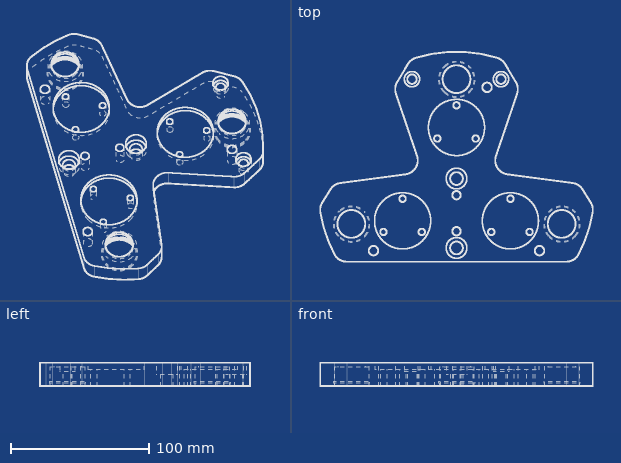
import cadquery as cq
import math

thickness = 17.0
rim_radius = 100.0
base_edge_y = -52.1
corner_radius = 10.0

waist_corner = (24.7, 12.8)
shoulder_corner = (45.5, 73.9)
hand_corner = (88.7, 4.3)
upper_bevel_angle = 31.0
lower_bevel_angle = 32.0

pocket_circle_radius = 45.0
pocket_angles = (90, 210, 330)
pocket_diameter = 40.7
pocket_depth = 5.0
pocket_screw_circle_radius = 16.0
pocket_screw_diameter = 4.5

bore_circle_radius = 80.0
bore_angles = (90, -18, 198)
bore_diameter = 20.0
bore_lip_thickness = 3.0
seat_diameter = 25.0
ring_groove_diameter = 26.3
ring_groove_depth = 13.5
ring_groove_width = 1.3

center_screw_ys = (8.0, -42.0)
center_screw_diameter = 9.0
center_counterbore_diameter = 15.0
center_counterbore_depth = 8.5
pin_ys = (-4.0, -30.0)
pin_diameter = 6.0

top_screw_x = 32.2
top_screw_y = bore_circle_radius
top_screw_diameter = 6.7
top_counterbore_diameter = 11.0
top_counterbore_depth = 6.3

plain_hole_points = [(22.1, 74.0), (-60.0, -44.0), (60.0, -44.0)]
plain_hole_diameter = 6.7


def polar_point(radius, angle):
    a = math.radians(angle)
    return (radius * math.cos(a), radius * math.sin(a))


def cylinders(points, diameter, bottom_z, top_z):
    """Upright cylinders spanning bottom_z to top_z at each point."""
    plane = cq.Workplane("XY").workplane(offset=bottom_z)
    return plane.pushPoints(points).circle(diameter / 2).extrude(top_z - bottom_z)


def through_holes(points, diameter):
    return cylinders(points, diameter, 0, thickness)


def top_recesses(points, diameter, depth):
    return cylinders(points, diameter, thickness - depth, thickness)


def make_plate():
    """Three-armed plate: straight-sided outline trimmed by the rim circle, with rounded corners."""
    apex_y = shoulder_corner[1] + shoulder_corner[0] / math.tan(math.radians(upper_bevel_angle))
    base_drop = hand_corner[1] - base_edge_y
    base_x = hand_corner[0] + base_drop * math.tan(math.radians(lower_bevel_angle))
    right_side = [(base_x, base_edge_y), hand_corner, waist_corner, shoulder_corner]
    left_side = [(-x, y) for x, y in reversed(right_side)]
    outline = right_side + [(0, apex_y)] + left_side
    plate = cq.Workplane("XY").polyline(outline).close().extrude(thickness)
    rim = cq.Workplane("XY").circle(rim_radius).extrude(thickness)
    return plate.intersect(rim).edges("|Z").fillet(corner_radius)


def cut_pockets(body):
    centers = [polar_point(pocket_circle_radius, a) for a in pocket_angles]
    offsets = [polar_point(pocket_screw_circle_radius, a) for a in pocket_angles]
    screws = [(cx + dx, cy + dy) for cx, cy in centers for dx, dy in offsets]
    body = body.cut(top_recesses(centers, pocket_diameter, pocket_depth))
    return body.cut(through_holes(screws, pocket_screw_diameter))


def cut_bearing_seats(body):
    centers = [polar_point(bore_circle_radius, a) for a in bore_angles]
    groove_top_z = thickness - ring_groove_depth
    groove_bottom_z = groove_top_z - ring_groove_width
    body = body.cut(through_holes(centers, bore_diameter))
    body = body.cut(cylinders(centers, seat_diameter, 0, thickness - bore_lip_thickness))
    return body.cut(cylinders(centers, ring_groove_diameter, groove_bottom_z, groove_top_z))


def cut_counterbored_holes(body, points, diameter, counterbore_diameter, depth):
    body = body.cut(through_holes(points, diameter))
    return body.cut(top_recesses(points, counterbore_diameter, depth))


center_screws = [(0, y) for y in center_screw_ys]
pins = [(0, y) for y in pin_ys]
top_screws = [(-top_screw_x, top_screw_y), (top_screw_x, top_screw_y)]

result = make_plate()
result = cut_pockets(result)
result = cut_bearing_seats(result)
result = cut_counterbored_holes(
    result, center_screws, center_screw_diameter, center_counterbore_diameter, center_counterbore_depth
)
result = cut_counterbored_holes(
    result, top_screws, top_screw_diameter, top_counterbore_diameter, top_counterbore_depth
)
result = result.cut(through_holes(pins, pin_diameter))
result = result.cut(through_holes(plain_hole_points, plain_hole_diameter))